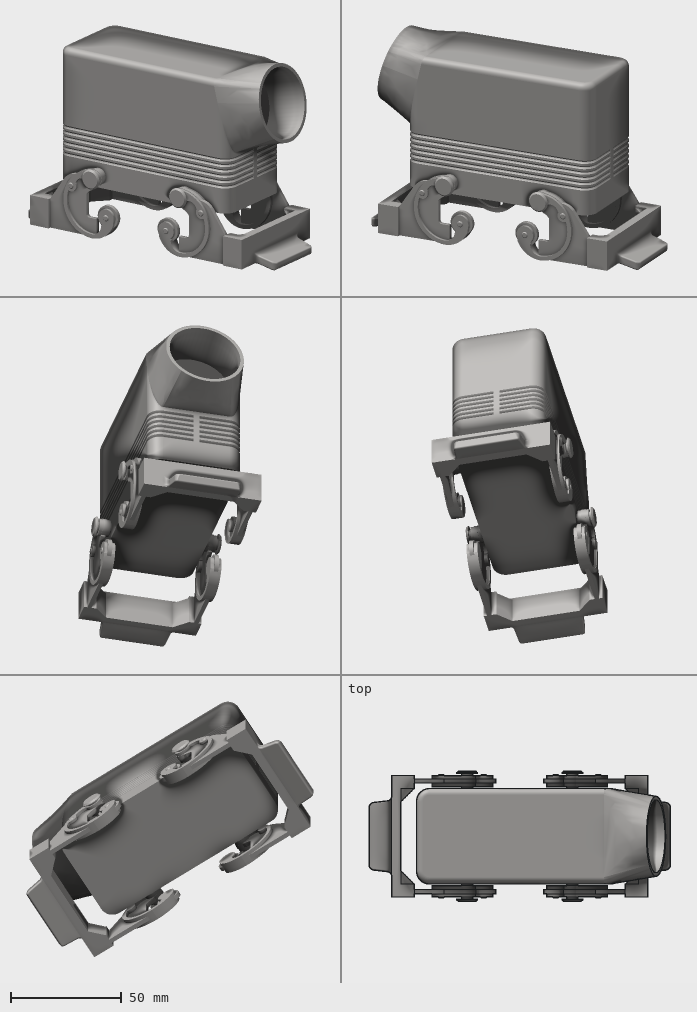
import cadquery as cq
import math

HOOD_LENGTH = 93.5
HOOD_WIDTH = 43.3
HOOD_BOTTOM_Z = 22.2
HOOD_TOP_Z = 85.0
HOOD_CORNER_RADIUS = 6.0
HOOD_TOP_RADIUS = 3.0

GROOVE_COUNT = 6
GROOVE_WIDTH = 1.5
GROOVE_PITCH = 2.55
GROOVE_DEPTH = 0.75
GROOVES_TOP_Z = 48.4
GROOVE_GAP = 2.7

COLLAR_TILT = 14.0
COLLAR_FOOT_Z = 50.4
COLLAR_LENGTH = 19.8
COLLAR_DIAMETER = 36.3
BORE_DIAMETER = 33.0
COLLAR_SEAMS = (-49.0, 14.0, 36.0, 44.5)

FRAME_OUTER_X = 57.9
FRAME_INNER_X = 47.7
FRAME_WIDTH = 55.0
FRAME_HEIGHT = 14.0
FRAME_BAR_THICKNESS = 4.1
GUSSET_TOP_Z = 13.0

TAB_SLOPE = 15.0
TAB_LENGTH = 9.67
TAB_THICKNESS = 4.0
TAB_TIP_WIDTH = 30.2
TAB_ROOT_WIDTH = 32.6
TAB_CORNER_RADIUS = 2.8
TAB_EDGE_RADIUS = 0.7
TAB_ROOT_RADIUS = 2.1

PIN_X = 23.8
PIN_Z = 28.0
PIN_DIAMETER = 5.3
PIN_HEAD_DIAMETER = 9.4
PIN_HEAD_THICKNESS = 1.1
PIN_HEAD_CHAMFER = 0.75
PIN_END_Y = 29.5

PLATE_INNER_Y = 24.0
PLATE_OUTER_Y = 26.0
PLATE_TOP_RADIUS = 16.2
PLATE_BOSS_RADIUS = 4.1
PLATE_TIP = (0.3, 23.2)
PLATE_CREST_X = -10.4
PLATE_SHOULDER = (-13.2, 27.4)
PLATE_SHOULDER_END = (-16.0, 25.4)
NOTCH_X = -4.15
NOTCH_BOTTOM_Z = 8.7
NOTCH_TOP_Z = 19.8
NOTCH_RADIUS = 1.5
NOTCH_ROOF = (-2.9, 21.1)
NOTCH_ROOF_END = (-0.9, 22.2)
PLATE_END_X = 1.3

LEVER_INNER_Y = 22.3
LEVER_OUTER_Y = 27.4
LEVER_BOSS_RADIUS = 3.9
LEVER_CENTRE_Z = 15.6
LEVER_OUTER_RADIUS = 15.95
LEVER_INNER_RADIUS = 14.0
HOOK_OUTER = (6.6, 1.75)
HOOK_OUTER_END = (11.1, 7.2)
HOOK_INNER = (3.9, 3.8)
HOOK_INNER_END = (4.8, 6.6)
HOOP_MIDDLE_ANGLE = 210.0
HOOP_END_ANGLE = 145.0
ARM_UNDERSIDE_Z = 27.2
ARM_ROUND_START = (-9.2, 24.5)
ARM_ROUND = (-7.4, 26.7)
ARM_ROUND_END_X = -5.0
LUG_RADIUS = 2.75
LUG_X = -11.75
LUG_Z = 22.6
EYE_X = 7.45
EYE_Z = 10.65
EYE_RADIUS = 4.15
EYE_FLANGE_RADIUS = 5.5
RIVET_RADIUS = 1.45
RIVET_HEIGHT = 0.45
RIVET_CHAMFER = 0.4

OVERLAP = 0.5
CUT_MARGIN = 1.0


def slab(profile, inner_y, outer_y):
    """Extrude an XZ profile drawn on the Y = 0 plane so that it fills inner_y to outer_y."""
    return profile.extrude(-(outer_y - inner_y)).translate((0, inner_y, 0))


def disc(x, z, radius, inner_y, outer_y):
    return slab(cq.Workplane("XZ").center(x, z).circle(radius), inner_y, outer_y)


def rounded_block(length, width, radius, height):
    return cq.Workplane("XY").rect(length, width).extrude(height).edges("|Z").fillet(radius)


def groove_ring():
    """V-section ring around the hood, broken by a plain strip on both end walls."""
    half = GROOVE_WIDTH / 2
    core_length = HOOD_LENGTH - 2 * GROOVE_DEPTH
    core_width = HOOD_WIDTH - 2 * GROOVE_DEPTH
    core_radius = HOOD_CORNER_RADIUS - GROOVE_DEPTH
    ridge_angle = math.degrees(math.atan(GROOVE_DEPTH / half))
    core = rounded_block(core_length, core_width, core_radius, half)
    ring = cq.Workplane("XY").rect(HOOD_LENGTH + 2 * CUT_MARGIN, HOOD_WIDTH + 2 * CUT_MARGIN).extrude(half)
    flared = (
        cq.Workplane("XY")
        .placeSketch(cq.Sketch().rect(core_length, core_width).vertices().fillet(core_radius))
        .extrude(half, taper=-ridge_angle)
    )
    upper = ring.cut(core.union(flared))
    gap = cq.Workplane("XY").box(HOOD_LENGTH + 4 * CUT_MARGIN, GROOVE_GAP, 2 * GROOVE_WIDTH)
    return upper.union(upper.mirror("XY")).cut(gap)


def hood():
    """Solid rounded block with its top edge rounded and the grip grooves cut in."""
    body = rounded_block(
        HOOD_LENGTH, HOOD_WIDTH, HOOD_CORNER_RADIUS, HOOD_TOP_Z - HOOD_BOTTOM_Z
    ).translate((0, 0, HOOD_BOTTOM_Z))
    body = body.faces(">Z").edges().fillet(HOOD_TOP_RADIUS)
    ring = groove_ring()
    for index in range(GROOVE_COUNT):
        groove_z = GROOVES_TOP_Z - GROOVE_WIDTH / 2 - index * GROOVE_PITCH
        body = body.cut(ring.translate((0, 0, groove_z)))
    return body


def mouth_wire(plane, radius):
    """Circle broken into arcs at the collar seams, so that each meets one stretch of the cut."""
    angles = list(COLLAR_SEAMS) + [180 - angle for angle in reversed(COLLAR_SEAMS)]

    def on_circle(angle):
        turn = math.radians(angle)
        return (radius * math.cos(turn), radius * math.sin(turn))

    outline = cq.Workplane(plane).moveTo(*on_circle(angles[0]))
    for start, end in zip(angles, angles[1:] + [angles[0] + 360]):
        outline = outline.threePointArc(on_circle((start + end) / 2), on_circle(end))
    return outline.wire().val()


def add_collar(body):
    """Cut the hood on a slope above the collar foot and blend that face into the round mouth."""
    tilt = math.radians(COLLAR_TILT)
    axis = cq.Vector(math.cos(tilt), 0, math.sin(tilt))
    cut_height = (HOOD_TOP_Z - COLLAR_FOOT_Z) / math.cos(tilt)
    foot = cq.Vector(HOOD_LENGTH / 2, 0, COLLAR_FOOT_Z)
    cut_centre = foot + cq.Vector(-math.sin(tilt), 0, math.cos(tilt)) * (cut_height / 2)
    cut_plane = cq.Plane(origin=cut_centre, xDir=(0, 1, 0), normal=axis)
    mouth_plane = cq.Plane(origin=cut_centre + axis * COLLAR_LENGTH, xDir=(0, 1, 0), normal=axis)

    waste = cq.Workplane(cut_plane).rect(2 * HOOD_WIDTH, cut_height).extrude(HOOD_LENGTH)
    body = body.cut(waste)
    cut_face = body.faces(cq.selectors.DirectionMinMaxSelector(axis)).val()
    mouth = mouth_wire(mouth_plane, COLLAR_DIAMETER / 2)
    collar = cq.Solid.makeLoft([cut_face.outerWire(), mouth], True)
    bore = cq.Workplane(mouth_plane).circle(BORE_DIAMETER / 2).extrude(-COLLAR_LENGTH)
    return body.union(cq.Workplane(collar)).cut(bore)


def handle_tab():
    """Tab sloping out and down from the frame, flared at its root, with a stub inside the frame."""
    face = -FRAME_OUTER_X
    slope = math.radians(TAB_SLOPE)
    tip_x = face - TAB_LENGTH * math.cos(slope)
    tip_z = -TAB_LENGTH * math.sin(slope)
    top_x = tip_x - TAB_THICKNESS * math.sin(slope)
    top_z = tip_z + TAB_THICKNESS * math.cos(slope)
    stub_x = face + FRAME_BAR_THICKNESS / 2
    half_root = TAB_ROOT_WIDTH / 2
    half_tip = TAB_TIP_WIDTH / 2
    half_stub = FRAME_WIDTH / 2

    side_shape = (
        cq.Workplane("XZ")
        .moveTo(stub_x, 0)
        .lineTo(face, 0)
        .lineTo(tip_x, tip_z)
        .lineTo(top_x, top_z)
        .lineTo(face, TAB_THICKNESS / math.cos(slope))
        .lineTo(face, FRAME_HEIGHT)
        .lineTo(stub_x, FRAME_HEIGHT)
        .close()
        .extrude(half_stub, both=True)
    )
    root_line = cq.selectors.NearestToPointSelector((face, 0, TAB_THICKNESS / math.cos(slope)))
    side_shape = side_shape.edges("|Y").edges(root_line).fillet(TAB_ROOT_RADIUS)

    plan_shape = (
        cq.Workplane("XY")
        .moveTo(stub_x, -half_stub)
        .lineTo(face, -half_stub)
        .lineTo(face, -half_root)
        .lineTo(top_x, -half_tip)
        .lineTo(top_x, half_tip)
        .lineTo(face, half_root)
        .lineTo(face, half_stub)
        .lineTo(stub_x, half_stub)
        .close()
        .extrude(FRAME_HEIGHT, both=True)
    )
    plan_shape = plan_shape.edges("|Z and <X").fillet(TAB_CORNER_RADIUS)
    for side in (-1, 1):
        root_line = cq.selectors.NearestToPointSelector((face, side * half_root, 0))
        plan_shape = plan_shape.edges("|Z").edges(root_line).fillet(TAB_ROOT_RADIUS)

    tab = side_shape.intersect(plan_shape)
    free_edges = cq.selectors.BoxSelector(
        (top_x - TAB_EDGE_RADIUS, -half_stub, -FRAME_HEIGHT),
        (face - TAB_ROOT_RADIUS, half_stub, FRAME_HEIGHT),
    )
    return tab.edges(free_edges).edges("not |Z").fillet(TAB_EDGE_RADIUS)


def frame():
    """Cross bar with two legs, braced in the inner corners, and the handle tab."""
    length = FRAME_OUTER_X - FRAME_INNER_X
    leg_gap = HOOD_WIDTH
    gusset = length - FRAME_BAR_THICKNESS
    bar_x = -FRAME_OUTER_X + FRAME_BAR_THICKNESS
    block = (
        cq.Workplane("XY")
        .box(length, FRAME_WIDTH, FRAME_HEIGHT, centered=(False, True, False))
        .translate((-FRAME_OUTER_X, 0, 0))
    )
    opening = (
        cq.Workplane("XY")
        .box(length, leg_gap, FRAME_HEIGHT, centered=(False, True, False))
        .translate((bar_x, 0, 0))
    )
    block = block.cut(opening)
    for side in (-1, 1):
        corner_y = side * leg_gap / 2
        brace = (
            cq.Workplane("XY")
            .moveTo(bar_x, corner_y)
            .lineTo(bar_x + gusset, corner_y)
            .lineTo(bar_x, corner_y - side * gusset)
            .close()
            .extrude(GUSSET_TOP_Z)
        )
        block = block.union(brace)
    return block.union(handle_tab())


def side_plate():
    """Flat plate from the frame to the pin, with a notch open towards the hook."""
    crest_z = LEVER_CENTRE_Z + math.sqrt(PLATE_TOP_RADIUS**2 - PLATE_CREST_X**2)
    plate = slab(
        cq.Workplane("XZ")
        .moveTo(-FRAME_INNER_X + PIN_X - OVERLAP, 0)
        .lineTo(PLATE_END_X, 0)
        .lineTo(PLATE_END_X, NOTCH_BOTTOM_Z)
        .lineTo(NOTCH_X + NOTCH_RADIUS, NOTCH_BOTTOM_Z)
        .radiusArc((NOTCH_X, NOTCH_BOTTOM_Z + NOTCH_RADIUS), NOTCH_RADIUS)
        .lineTo(NOTCH_X, NOTCH_TOP_Z)
        .threePointArc(NOTCH_ROOF, NOTCH_ROOF_END)
        .lineTo(*PLATE_TIP)
        .lineTo(PLATE_TIP[0], PIN_Z)
        .lineTo(0, LEVER_CENTRE_Z + PLATE_TOP_RADIUS)
        .radiusArc((PLATE_CREST_X, crest_z), -PLATE_TOP_RADIUS)
        .threePointArc(PLATE_SHOULDER, PLATE_SHOULDER_END)
        .lineTo(-FRAME_INNER_X + PIN_X, FRAME_HEIGHT)
        .lineTo(-FRAME_INNER_X + PIN_X - OVERLAP, FRAME_HEIGHT)
        .close(),
        PLATE_INNER_Y,
        PLATE_OUTER_Y,
    )
    return plate.union(disc(0, PIN_Z, PLATE_BOSS_RADIUS, PLATE_INNER_Y, PLATE_OUTER_Y))


def on_hoop(angle):
    """Point on the inner edge of the lever's hoop, at an angle from +X towards +Z."""
    turn = math.radians(angle)
    return (
        LEVER_INNER_RADIUS * math.cos(turn),
        LEVER_CENTRE_Z + LEVER_INNER_RADIUS * math.sin(turn),
    )


def hook_lever():
    """Hook around the plate: arm at the pin, round hoop below, and a flanged eye at its tip."""
    outer_bottom_z = LEVER_CENTRE_Z - LEVER_OUTER_RADIUS
    outer_top_z = LEVER_CENTRE_Z + LEVER_OUTER_RADIUS
    inner_bottom_z = LEVER_CENTRE_Z - LEVER_INNER_RADIUS
    lever = slab(
        cq.Workplane("XZ")
        .moveTo(0, outer_top_z)
        .threePointArc((-LEVER_OUTER_RADIUS, LEVER_CENTRE_Z), (0, outer_bottom_z))
        .threePointArc(HOOK_OUTER, HOOK_OUTER_END)
        .lineTo(EYE_X + EYE_RADIUS, EYE_Z)
        .lineTo(EYE_X, EYE_Z)
        .lineTo(*HOOK_INNER_END)
        .threePointArc(HOOK_INNER, (0, inner_bottom_z))
        .threePointArc(on_hoop(HOOP_MIDDLE_ANGLE), on_hoop(HOOP_END_ANGLE))
        .lineTo(LUG_X, LUG_Z)
        .lineTo(*ARM_ROUND_START)
        .threePointArc(ARM_ROUND, (ARM_ROUND_END_X, ARM_UNDERSIDE_Z))
        .lineTo(0, ARM_UNDERSIDE_Z)
        .close(),
        LEVER_INNER_Y,
        LEVER_OUTER_Y,
    )
    lever = lever.union(disc(0, PIN_Z, LEVER_BOSS_RADIUS, LEVER_INNER_Y, LEVER_OUTER_Y))
    lug = disc(LUG_X, LUG_Z, LUG_RADIUS, LEVER_INNER_Y, LEVER_OUTER_Y)
    lever_limit = disc(0, LEVER_CENTRE_Z, LEVER_OUTER_RADIUS, LEVER_INNER_Y, LEVER_OUTER_Y)
    lever = lever.union(lug.intersect(lever_limit))
    lever = lever.union(disc(EYE_X, EYE_Z, EYE_RADIUS, LEVER_INNER_Y, LEVER_OUTER_Y))
    lever = lever.union(disc(EYE_X, EYE_Z, EYE_FLANGE_RADIUS, PLATE_INNER_Y, PLATE_OUTER_Y))
    for x, z in ((LUG_X, LUG_Z), (EYE_X, EYE_Z)):
        rivet = disc(x, z, RIVET_RADIUS, LEVER_INNER_Y, LEVER_OUTER_Y + RIVET_HEIGHT)
        lever = lever.union(rivet.faces(">Y").chamfer(RIVET_CHAMFER))
    return lever


def pivot_pin():
    shank = disc(0, PIN_Z, PIN_DIAMETER / 2, HOOD_WIDTH / 2 - OVERLAP, PIN_END_Y)
    head = disc(0, PIN_Z, PIN_HEAD_DIAMETER / 2, PIN_END_Y - PIN_HEAD_THICKNESS, PIN_END_Y)
    return shank.union(head.faces(">Y").chamfer(PIN_HEAD_CHAMFER))


def bracket():
    """The complete bracket of the -X end."""
    side = side_plate().union(hook_lever()).union(pivot_pin()).translate((-PIN_X, 0, 0))
    return frame().union(side).union(side.mirror("XZ"))


left_bracket = bracket()
result = add_collar(hood()).union(left_bracket).union(left_bracket.mirror("YZ"))